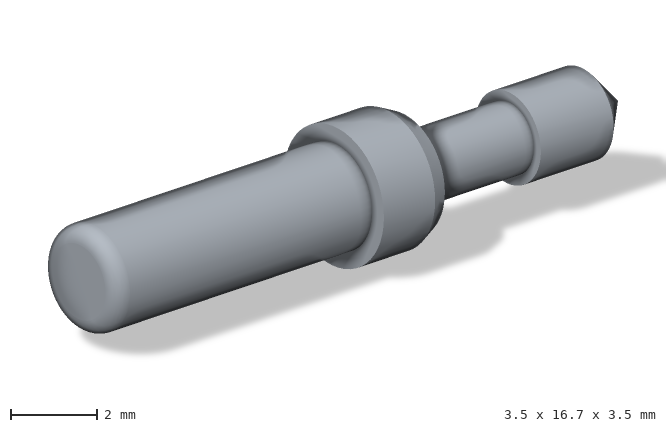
import cadquery as cq

total_length = 16.7
collar_diameter = 3.5
collar_front_diameter = 3.05
shaft_diameter = 2.67
neck_diameter = 1.8
head_diameter = 2.3
end_radius = 0.4

cone_length = head_diameter / 2
head_length = 2.25
neck_length = 3.3
collar_taper_length = 0.5
collar_length = 2.09

head_front = total_length - cone_length
head_back = head_front - head_length
collar_front = head_back - neck_length
collar_taper_end = collar_front - collar_taper_length
collar_back = collar_front - collar_length

profile = (
    cq.Workplane("XY")
    .moveTo(0, 0)
    .lineTo(shaft_diameter / 2, 0)
    .lineTo(shaft_diameter / 2, collar_back)
    .lineTo(collar_diameter / 2, collar_back)
    .lineTo(collar_diameter / 2, collar_taper_end)
    .lineTo(collar_front_diameter / 2, collar_front)
    .lineTo(neck_diameter / 2, collar_front)
    .lineTo(neck_diameter / 2, head_back)
    .lineTo(head_diameter / 2, head_back)
    .lineTo(head_diameter / 2, head_front)
    .lineTo(0, total_length)
    .close()
)
pin = profile.revolve(360, (0, 0, 0), (0, 1, 0))

result = pin.faces("<Y").edges().fillet(end_radius)